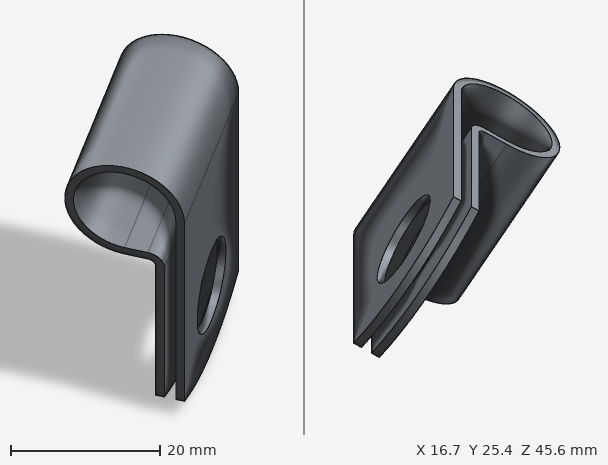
import cadquery as cq
import math

thickness = 1.214
width = 25.4

outer_radius = 16.71 / 2
inner_radius = outer_radius - thickness

total_height = 45.64
leg_gap = 1.5875
bend_inner_radius = 1.07
bend_outer_radius = bend_inner_radius + thickness
leg_bottom = outer_radius - total_height
back_leg_inner = inner_radius
front_leg_outer = back_leg_inner - leg_gap
front_leg_inner = front_leg_outer - thickness

bend_x = front_leg_inner - bend_inner_radius
bend_z = -outer_radius - bend_inner_radius

hole_diameter = 13.46
hole_to_end = 12.7
hole_z = leg_bottom + hole_to_end
end_radius = 28.575


def on_circle(center_x, center_z, radius, degrees):
    """Point on a circle in the XZ plane, with the angle measured from +X toward +Z."""
    angle = math.radians(degrees)
    return (center_x + radius * math.cos(angle), center_z + radius * math.sin(angle))


def make_strip():
    """Strip of constant thickness: back leg, loop, short flat, bend and front leg."""
    profile = (
        cq.Workplane("XZ")
        .moveTo(outer_radius, leg_bottom)
        .lineTo(outer_radius, 0)
        .threePointArc(on_circle(0, 0, outer_radius, 135), (0, -outer_radius))
        .lineTo(bend_x, -outer_radius)
        .threePointArc(on_circle(bend_x, bend_z, bend_inner_radius, 45), (front_leg_inner, bend_z))
        .lineTo(front_leg_inner, leg_bottom)
        .lineTo(front_leg_outer, leg_bottom)
        .lineTo(front_leg_outer, bend_z)
        .threePointArc(on_circle(bend_x, bend_z, bend_outer_radius, 45), (bend_x, -inner_radius))
        .lineTo(0, -inner_radius)
        .threePointArc(on_circle(0, 0, inner_radius, 135), (inner_radius, 0))
        .lineTo(back_leg_inner, leg_bottom)
        .close()
    )
    return profile.extrude(width / 2, both=True)


def make_side_envelope():
    """Block with the outline seen along X: straight sides and an arc across the leg ends."""
    half_width = width / 2
    arc_height = end_radius - math.sqrt(end_radius**2 - half_width**2)
    corner_z = leg_bottom + arc_height
    outline = (
        cq.Workplane("YZ")
        .moveTo(-half_width, outer_radius)
        .lineTo(-half_width, corner_z)
        .threePointArc((0, leg_bottom), (half_width, corner_z))
        .lineTo(half_width, outer_radius)
        .close()
    )
    return outline.extrude(outer_radius, both=True)


def make_bolt_hole():
    """Cylinder along X that passes through both legs."""
    hole = cq.Workplane("YZ").center(0, hole_z).circle(hole_diameter / 2)
    return hole.extrude(outer_radius, both=True)


result = make_strip().intersect(make_side_envelope()).cut(make_bolt_hole())